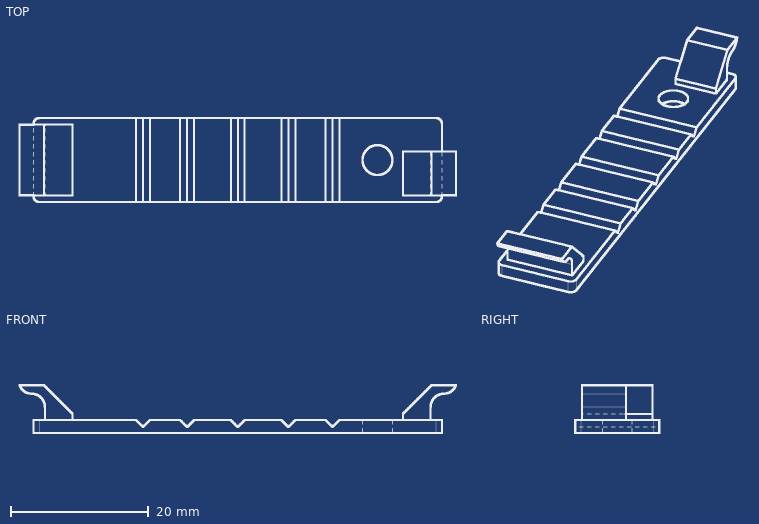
import cadquery as cq
import math

overall_length = 63.3
overall_height = 6.95

plate_length = 59.2
plate_width = 12.2
plate_thickness = 1.9
corner_radius = 0.9

hole_diameter = 4.3
hole_x = 20.25

groove_depth = 1.0
inner_groove_offset = 7.35
outer_groove_offset = 13.75
groove_positions = [
    -outer_groove_offset,
    -inner_groove_offset,
    0.0,
    inner_groove_offset,
    outer_groove_offset,
]

clip_top_length = 3.55
clip_wall_distance = 3.7
clip_foot_top = 2.8
clip_lip_bottom = 5.7
clip_curve_radius = 1.9
wide_clip_width = 10.25
narrow_clip_width = 6.4
clip_front_y = -wide_clip_width / 2


def make_plate():
    plate = cq.Workplane("XY").box(
        plate_length, plate_width, plate_thickness, centered=(True, True, False)
    )
    return plate.edges("|Z").fillet(corner_radius)


def make_groove(center_x):
    """V-shaped cutter running across the full plate width."""
    return (
        cq.Workplane("XZ", origin=(center_x, 0, plate_thickness))
        .moveTo(-groove_depth, 0)
        .lineTo(0, -groove_depth)
        .lineTo(groove_depth, 0)
        .close()
        .extrude(plate_width / 2, both=True)
    )


def make_clip(width):
    """Left-hand clip: hooked lip outside, 45 degree brace inside."""
    tip_x = -overall_length / 2
    wall_x = tip_x + clip_wall_distance
    brace_top_x = tip_x + clip_top_length
    foot_x = brace_top_x + overall_height - clip_foot_top

    bend_x = wall_x - clip_curve_radius
    bend_z = clip_lip_bottom - clip_curve_radius
    half_chord = clip_curve_radius * math.sqrt(0.5)
    concave_mid = (bend_x + half_chord, bend_z + half_chord)

    lip_center_z = clip_lip_bottom + clip_curve_radius
    lip_mid_x = (tip_x + bend_x) / 2
    lip_drop = math.sqrt(clip_curve_radius**2 - (bend_x - lip_mid_x) ** 2)
    lip_mid = (lip_mid_x, lip_center_z - lip_drop)

    return (
        cq.Workplane("XZ", origin=(0, clip_front_y, 0))
        .moveTo(wall_x, 0)
        .lineTo(wall_x, bend_z)
        .threePointArc(concave_mid, (bend_x, clip_lip_bottom))
        .threePointArc(lip_mid, (tip_x, overall_height))
        .lineTo(brace_top_x, overall_height)
        .lineTo(foot_x, clip_foot_top)
        .lineTo(foot_x, 0)
        .close()
        .extrude(-width)
    )


body = make_plate()

for groove_x in groove_positions:
    body = body.cut(make_groove(groove_x))

screw_hole = cq.Workplane("XY").center(hole_x, 0).circle(hole_diameter / 2).extrude(plate_thickness)
body = body.cut(screw_hole)

wide_clip = make_clip(wide_clip_width)
narrow_clip = make_clip(narrow_clip_width).mirror("YZ")

result = body.union(wide_clip).union(narrow_clip)